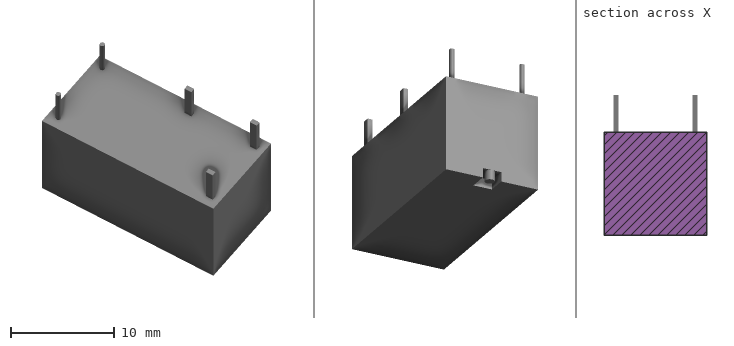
import cadquery as cq

body_length = 20.0
body_width = 10.0
body_height = 10.0

pin_height = 3.6
pin_pitch = 2.55
row_spacing = 3 * pin_pitch
coil_to_middle = 4 * pin_pitch
middle_to_end = 3 * pin_pitch
round_pin_diameter = 0.5
flat_pin_length = 0.8
flat_pin_width = 0.5

notch_width = 2.0
notch_depth = 2.0
notch_height = 1.0
post_diameter = 1.0

coil_x = -(coil_to_middle + middle_to_end) / 2
middle_x = coil_x + coil_to_middle
end_x = middle_x + middle_to_end
back_y = row_spacing / 2
front_y = -back_y

round_pin_points = [(coil_x, front_y), (coil_x, back_y)]
flat_pin_points = [(middle_x, back_y), (end_x, front_y), (end_x, back_y)]


def make_housing():
    """Plain block resting on Z = 0."""
    return cq.Workplane("XY").box(body_length, body_width, body_height, centered=(True, True, False))


def make_notch():
    """Pocket open to the -X face and the underside."""
    notch = cq.Workplane("XY").box(notch_depth, notch_width, notch_height, centered=(False, True, False))
    return notch.translate((-body_length / 2, 0, 0))


def make_post():
    """Round post hanging from the notch roof, tangent to the -X face."""
    post_x = (post_diameter - body_length) / 2
    return cq.Workplane("XY").center(post_x, 0).circle(post_diameter / 2).extrude(notch_height)


def make_pins():
    """Round and flat pins rising from the top face."""
    top = cq.Workplane("XY").workplane(offset=body_height)
    round_pins = top.pushPoints(round_pin_points).circle(round_pin_diameter / 2).extrude(pin_height)
    flat_pins = top.pushPoints(flat_pin_points).rect(flat_pin_length, flat_pin_width).extrude(pin_height)
    return round_pins.union(flat_pins)


result = make_housing().cut(make_notch()).union(make_post()).union(make_pins())